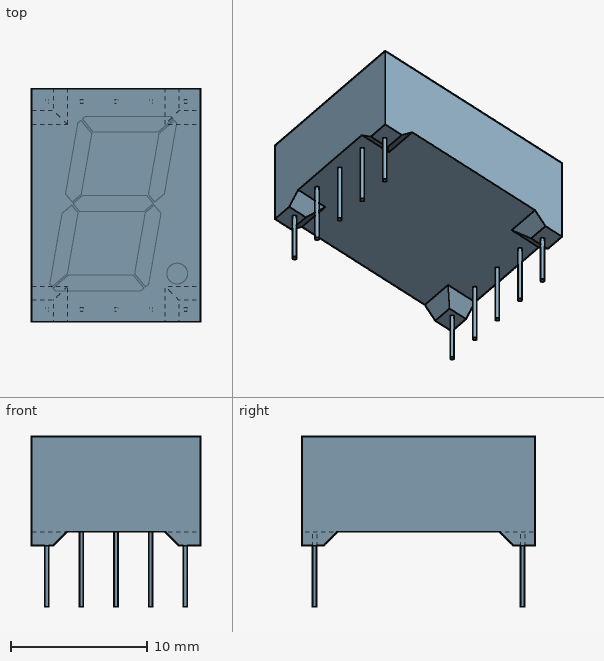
import cadquery as cq

width = 12.4
length = 17.11
body_height = 8.0

foot_width = 1.6
notch_height = 1.01

pins_per_row = 5
row_length = 10.16
pin_pitch = row_length / (pins_per_row - 1)
row_spacing = 15.25
pin_diameter = 0.3
pin_reach = 4.5

inlay_depth = 0.17

digit_center = (-0.22, 0.14)
digit_half_width = 3.63
digit_half_height = 6.4
stroke = 1.16
slant = 0.174
half_gap = 0.094
corner_bevel = 0.5
joint_inset = 0.58
side_bevel = 0.72

point_center = (4.47, -5.0)
point_diameter = 1.52


def notch(span, depth, plane):
    """Trapezoidal channel between the feet, as wide as the span leaves and running through the depth."""
    wide = span / 2 - foot_width
    narrow = wide - notch_height
    outline = [(-wide, 0), (wide, 0), (narrow, notch_height), (-narrow, notch_height)]
    return cq.Workplane(plane).polyline(outline).close().extrude(depth / 2, both=True)


def make_housing():
    block = cq.Workplane("XY").box(width, length, body_height, centered=(True, True, False))
    block = block.cut(notch(width, length, "XZ"))
    return block.cut(notch(length, width, "YZ"))


def make_pins():
    """Pins hang from the ceiling of the notches; the end ones pass through the feet."""
    return (
        cq.Workplane("XY", origin=(0, 0, -pin_reach))
        .rarray(pin_pitch, row_spacing, pins_per_row, 2)
        .circle(pin_diameter / 2)
        .extrude(pin_reach + notch_height)
    )


def mirrored(outline):
    """Left-right mirror image about the digit's centre."""
    return [(-x, y) for x, y in outline]


def turned(outline):
    """Outline turned half a turn about the digit's centre."""
    return [(-x, -y) for x, y in outline]


def top_bar():
    """Upright outline of the top bar, about the digit's centre."""
    tip_inset = (corner_bevel + half_gap) / 2
    tip_drop = (corner_bevel - half_gap) / 2
    right_half = [
        (digit_half_width - corner_bevel, digit_half_height),
        (digit_half_width - tip_inset, digit_half_height - tip_drop),
        (digit_half_width - stroke - half_gap, digit_half_height - stroke),
    ]
    return right_half + mirrored(reversed(right_half))


def middle_bar():
    """Upright outline of the middle bar, pointed at both ends."""
    tip = digit_half_width - joint_inset - half_gap
    shoulder = tip - stroke / 2
    upper = [(-tip, 0), (-shoulder, stroke / 2), (shoulder, stroke / 2)]
    return upper + turned(upper)


def upper_right_bar():
    """Upright outline of the upper right bar."""
    tip_inset = (corner_bevel - half_gap) / 2
    tip_drop = (corner_bevel + half_gap) / 2
    mitre = joint_inset - half_gap
    joint_tip_inset = (side_bevel + mitre) / 2
    joint_tip_height = (side_bevel - mitre) / 2
    return [
        (digit_half_width, digit_half_height - corner_bevel),
        (digit_half_width, side_bevel),
        (digit_half_width - joint_tip_inset, joint_tip_height),
        (digit_half_width - stroke, stroke - mitre),
        (digit_half_width - stroke, digit_half_height - stroke - half_gap),
        (digit_half_width - tip_inset, digit_half_height - tip_drop),
    ]


def slanted(outline):
    """Outline leaned to the right and moved to its place on the top face."""
    center_x, center_y = digit_center
    return [(center_x + x + slant * y, center_y + y) for x, y in outline]


def make_inlays():
    """Seven bars and the decimal point, set into the top face."""
    right_bar = upper_right_bar()
    left_bar = mirrored(right_bar)
    upper_bars = [top_bar(), right_bar, left_bar]
    bars = upper_bars + [middle_bar()] + [turned(bar) for bar in upper_bars]
    sketch = cq.Workplane("XY", origin=(0, 0, body_height - inlay_depth))
    for bar in bars:
        sketch = sketch.polyline(slanted(bar)).close()
    return sketch.moveTo(*point_center).circle(point_diameter / 2).extrude(inlay_depth)


inlays = make_inlays()
housing = make_housing().union(make_pins())
result = housing.cut(inlays).union(inlays, clean=False)